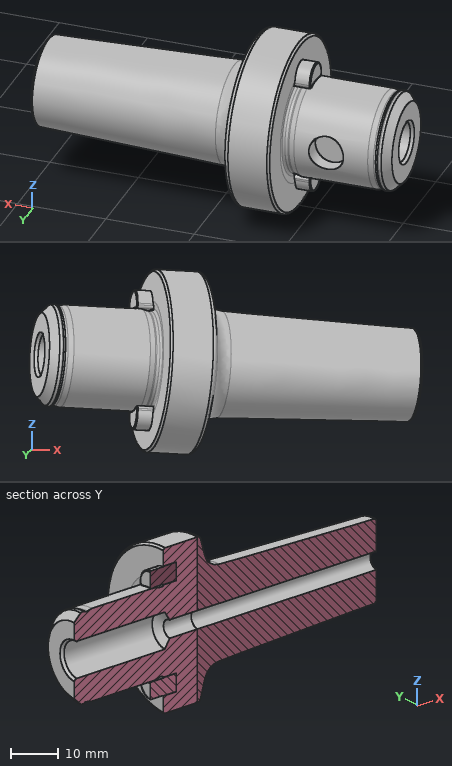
import cadquery as cq
import math

total_length = 81.5
coupling_length = 33.25

nose_face_radius = 9.0
nose_chamfer_radius = 10.75
rim_radius = 10.9
rim_start_x = 2.4
rim_end_x = 2.6
groove_radius = 10.7
groove_start_x = 3.1
groove_end_x = 3.6
lead_end_x = 4.8
spigot_diameter = 21.9
spigot_radius = spigot_diameter / 2

relief_start_x = 21.5
relief_radius = 10.6
relief_taper_angle = 15.0
relief_taper_blend = 1.0
face_relief_radius = 12.7
face_relief_angle = 8.0
relief_corner_radius = 0.5

flange_face_x = 24.0
flange_diameter = 39.0
flange_radius = flange_diameter / 2
flange_chamfer = 0.5

flange_edge_rounding = 1.0
steep_cone_angle = 15.0
shank_root_radius = 11.6
shank_end_radius = 10.0
shank_root_fillet = 4.0
shank_end_chamfer = 0.5

bore_radius = 4.3
bore_depth = 24.45
bore_chamfer_length = 0.7
bore_chamfer_depth = 0.5
drill_point_angle = 118.0
coolant_hole_radius = 2.1

recess_x = 14.2
recess_radius = 3.9
recess_depth = 4.1

key_front_x = 20.45
key_half_width = 3.5
key_arc_center_z = 11.65
key_tip_z = key_arc_center_z + key_half_width
key_corner_fillet = 0.65
key_front_chamfer = 0.25
key_length = 2 * (flange_face_x - key_front_x)

edge_tolerance = 0.01


def tangent(degrees):
    return math.tan(math.radians(degrees))


def revolve_about_x(profile):
    return profile.close().revolve(360, (0, 0, 0), (1, 0, 0))


def round_circular_edge(solid, x, radius, fillet_radius):
    """Fillet the circular edge that lies at the given place along X and the given radius."""
    lower = (x - edge_tolerance, -radius - edge_tolerance, -radius - edge_tolerance)
    upper = (x + edge_tolerance, radius + edge_tolerance, radius + edge_tolerance)
    return solid.edges(cq.selectors.BoxSelector(lower, upper, True)).fillet(fillet_radius)


def make_coupling_blank():
    relief_end_x = relief_start_x + (spigot_radius - relief_radius) / tangent(relief_taper_angle)
    relief_bottom_x = flange_face_x + (face_relief_radius - relief_radius) * tangent(face_relief_angle)
    blank = revolve_about_x(
        cq.Workplane("XY")
        .moveTo(0, 0)
        .lineTo(0, nose_face_radius)
        .lineTo(nose_chamfer_radius - nose_face_radius, nose_chamfer_radius)
        .lineTo(rim_start_x, rim_radius)
        .lineTo(rim_end_x, rim_radius)
        .lineTo(groove_start_x, groove_radius)
        .lineTo(groove_end_x, groove_radius)
        .lineTo(lead_end_x, spigot_radius)
        .lineTo(relief_start_x, spigot_radius)
        .lineTo(relief_end_x, relief_radius)
        .lineTo(relief_bottom_x, relief_radius)
        .lineTo(flange_face_x, face_relief_radius)
        .lineTo(flange_face_x, flange_radius - flange_chamfer)
        .lineTo(flange_face_x + flange_chamfer, flange_radius)
        .lineTo(coupling_length, flange_radius)
        .lineTo(coupling_length, 0)
    )
    blank = round_circular_edge(blank, relief_end_x, relief_radius, relief_taper_blend)
    return round_circular_edge(blank, relief_bottom_x, relief_radius, relief_corner_radius)


def make_shank_blank():
    def rounding_point(degrees):
        angle = math.radians(degrees)
        return (
            coupling_length + flange_edge_rounding * math.cos(angle),
            flange_radius - flange_edge_rounding + flange_edge_rounding * math.sin(angle),
        )

    rounding_middle = rounding_point((90 + steep_cone_angle) / 2)
    cone_start_x, cone_start_radius = rounding_point(steep_cone_angle)
    root_x = cone_start_x + (cone_start_radius - shank_root_radius) * tangent(steep_cone_angle)
    blank = revolve_about_x(
        cq.Workplane("XY")
        .moveTo(coupling_length, 0)
        .lineTo(coupling_length, flange_radius)
        .threePointArc(rounding_middle, (cone_start_x, cone_start_radius))
        .lineTo(root_x, shank_root_radius)
        .lineTo(total_length - shank_end_chamfer, shank_end_radius)
        .lineTo(total_length, shank_end_radius - shank_end_chamfer)
        .lineTo(total_length, 0)
    )
    return round_circular_edge(blank, root_x, shank_root_radius, shank_root_fillet)


def make_bore():
    """Chamfered blind bore with a drill point, opening into a coolant hole through the whole length."""
    point_length = (bore_radius - coolant_hole_radius) / tangent(drill_point_angle / 2)
    return revolve_about_x(
        cq.Workplane("XY")
        .moveTo(0, 0)
        .lineTo(0, bore_radius + bore_chamfer_depth)
        .lineTo(bore_chamfer_length, bore_radius)
        .lineTo(bore_depth, bore_radius)
        .lineTo(bore_depth + point_length, coolant_hole_radius)
        .lineTo(total_length, coolant_hole_radius)
        .lineTo(total_length, 0)
    )


def make_side_recess():
    return (
        cq.Workplane("XZ", origin=(recess_x, spigot_radius, 0))
        .circle(recess_radius)
        .extrude(recess_depth)
    )


def make_key(turn):
    """Key with a half-round top and a hollow underside that sits on the spigot."""
    side_bottom_z = math.sqrt(spigot_radius**2 - key_half_width**2)
    key = (
        cq.Workplane("YZ", origin=(key_front_x, 0, 0))
        .moveTo(-key_half_width, side_bottom_z)
        .lineTo(-key_half_width, key_arc_center_z)
        .threePointArc((0, key_tip_z), (key_half_width, key_arc_center_z))
        .lineTo(key_half_width, side_bottom_z)
        .threePointArc((0, spigot_radius), (-key_half_width, side_bottom_z))
        .close()
        .extrude(key_length)
    )
    for side in ("<Y", ">Y"):
        key = key.faces(side).edges("|X").edges("<Z").fillet(key_corner_fillet)
    key = key.faces("<X").chamfer(key_front_chamfer)
    return key.rotate((0, 0, 0), (1, 0, 0), turn)


bore = make_bore()
keys = [make_key(turn) for turn in (0, 180)]

coupling = make_coupling_blank().cut(bore).cut(make_side_recess())
for key in keys:
    coupling = coupling.cut(key)

shank = make_shank_blank().cut(bore)

bodies = [coupling, shank, *keys]
result = cq.Compound.makeCompound([each_body.solids().val() for each_body in bodies])